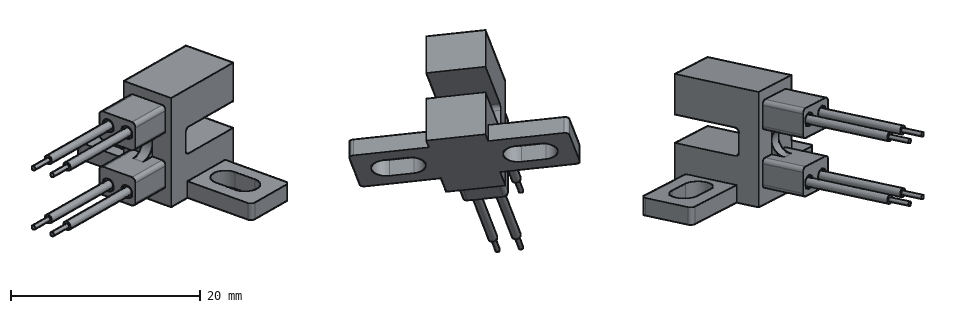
import cadquery as cq


body_width = 6.4
body_length = 10.57
body_height = 12.95
gap_height = 3.18
gap_depth = 8.08
gap_center_z = 6.8
corner_radius = 0.5

base_width = 23.75
base_length = 6.4
base_thickness = 1.98
base_setback = 1.4
slot_length = 5.85
slot_width = 3.18
slot_offset = 7.12

housing_width = 4.88
housing_height = 3.37
housing_length = 5.1
housing_centers_z = (gap_center_z - (gap_height + housing_height) / 2,
                     gap_center_z + (gap_height + housing_height) / 2)

web_width = 1.33
web_radius = gap_height / 2

overall_length = 28.35
wire_spacing = 2.52
wire_rows_z = (3.25, 10.3)
recess_diameter = 1.5
recess_depth = 0.2
insulation_diameter = 1.0
conductor_diameter = 0.5
conductor_length = 2.52

body_front_y = 0.0
housing_front_y = body_front_y - housing_length
conductor_tip_y = body_length - overall_length
recess_floor_y = housing_front_y + recess_depth
insulation_end_y = conductor_tip_y + conductor_length
base_center_y = body_length - base_setback - base_length / 2


def box_toward_rear(width, length, height, front_y, center_z):
    """Box centred on X = 0 that runs from front_y toward +Y."""
    center = (0, front_y + length / 2, center_z)
    return cq.Workplane("XY").box(width, length, height).translate(center)


def rod(diameter, start_y, end_y, x, z):
    """Round rod along Y from start_y forward to end_y."""
    plane = cq.Workplane("XZ", origin=(x, start_y, z))
    return plane.circle(diameter / 2).extrude(start_y - end_y)


def make_body():
    block = box_toward_rear(body_width, body_length, body_height, body_front_y, body_height / 2)
    gap_front_y = body_length - gap_depth
    gap = box_toward_rear(body_width, gap_depth, gap_height, gap_front_y, gap_center_z)
    gap = gap.faces("<Y").edges("|X").fillet(corner_radius)
    return block.cut(gap)


def make_base():
    plate = (
        cq.Workplane("XY", origin=(0, base_center_y, 0))
        .rect(base_width, base_length)
        .extrude(base_thickness)
        .edges("|Z")
        .fillet(corner_radius)
    )
    slots = (
        cq.Workplane("XY", origin=(0, base_center_y, 0))
        .pushPoints([(-slot_offset, 0), (slot_offset, 0)])
        .slot2D(slot_length, slot_width)
        .extrude(base_thickness)
    )
    return plate.cut(slots)


def make_housing(center_z):
    housing = box_toward_rear(housing_width, housing_length, housing_height, housing_front_y, center_z)
    return housing.edges("|Y").fillet(corner_radius)


def make_web():
    block = box_toward_rear(web_width, web_radius, gap_height, body_front_y - web_radius, gap_center_z)
    hollow = (
        cq.Workplane("YZ", origin=(-web_width / 2, body_front_y - web_radius, gap_center_z))
        .circle(web_radius)
        .extrude(web_width)
    )
    return block.cut(hollow)


result = make_body().union(make_base())
for housing_center_z in housing_centers_z:
    result = result.union(make_housing(housing_center_z))
result = result.union(make_web())

for wire_z in wire_rows_z:
    for wire_x in (-wire_spacing / 2, wire_spacing / 2):
        recess = rod(recess_diameter, recess_floor_y, housing_front_y, wire_x, wire_z)
        insulation = rod(insulation_diameter, recess_floor_y, insulation_end_y, wire_x, wire_z)
        conductor = rod(conductor_diameter, insulation_end_y, conductor_tip_y, wire_x, wire_z)
        result = result.cut(recess).union(insulation).union(conductor)